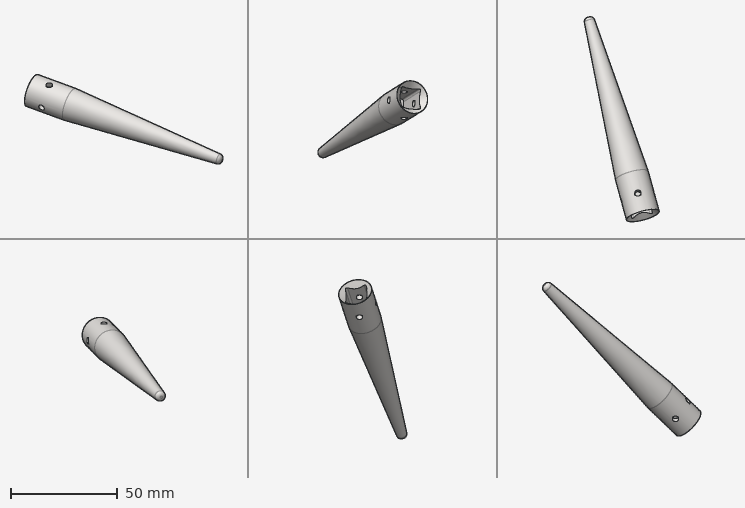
import cadquery as cq

length = 100.0
outer_diameter = 16.0
collar_length = 20.0
tip_diameter = 4.8
tip_round = 2.0

rim_width = 0.1
socket_side = 10.0
socket_corner_radius = 1.0
socket_depth = collar_length

pin_hole_diameter = 3.0
pin_hole_position = 9.0

outer_radius = outer_diameter / 2
tip_radius = tip_diameter / 2
socket_half = socket_side / 2
mouth_radius = outer_radius - rim_width
mouth_depth = mouth_radius - socket_half


def revolve_about_x(points):
    """Solid of revolution about X from (x, radius) points."""
    return cq.Workplane("XZ").polyline(points).close().revolve(360, (0, 0, 0), (1, 0, 0))


def tapered_body():
    """Straight collar followed by a long cone with a rounded tip."""
    body = revolve_about_x([
        (0, 0),
        (0, outer_radius),
        (collar_length, outer_radius),
        (length, tip_radius),
        (length, 0),
    ])
    return body.faces(">X").edges().fillet(tip_round)


def square_socket():
    """Blind square pocket with rounded corners, opening at the mouth."""
    return (
        cq.Workplane("YZ")
        .rect(socket_side, socket_side)
        .extrude(socket_depth)
        .edges("|X")
        .fillet(socket_corner_radius)
    )


def flared_mouth():
    """Conical lead-in that runs from the narrow flat rim to the socket walls."""
    return revolve_about_x([
        (0, 0),
        (0, mouth_radius),
        (mouth_depth, socket_half),
        (mouth_depth, 0),
    ])


def pin_hole(plane):
    """Cross hole through both walls of the collar, normal to the given plane."""
    return (
        cq.Workplane(plane)
        .center(pin_hole_position, 0)
        .circle(pin_hole_diameter / 2)
        .extrude(outer_radius, both=True)
    )


result = tapered_body().cut(square_socket()).cut(flared_mouth())
for hole_plane in ("XY", "XZ"):
    result = result.cut(pin_hole(hole_plane))